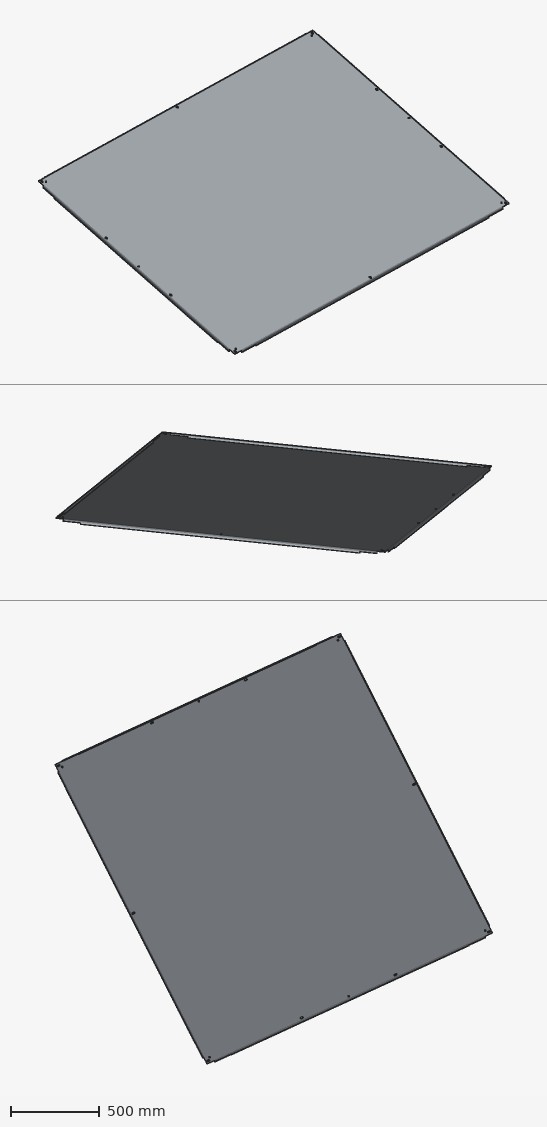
import cadquery as cq
import math

length_x = 1795.0
length_y = 1980.0
height = 22.0

sheet = 3.0
outer_bend = 5.0
inner_bend = outer_bend - sheet

flange_end_inset = 51.0
flange_step_inset = 155.0
shallow_depth = 14.0

opening_width = 8.0
slot_length = 15.0
opening_inset = 20.0
short_side_slot_x = 293.0
corner_hole_inset = 35.0


def arc_middle(center, radius):
    """Midpoint of a quarter arc that faces outward and up."""
    offset = radius * math.sqrt(0.5)
    return (center[0] + offset, center[1] + offset)


def make_flange(side_length, side_distance):
    """Bent flange on the +X side, full height in the middle and shallow near both ends."""
    bend_center = (side_distance - outer_bend, height - outer_bend)
    inner_face = side_distance - sheet
    flange = (
        cq.Workplane("XZ")
        .moveTo(bend_center[0], height)
        .threePointArc(arc_middle(bend_center, outer_bend), (side_distance, bend_center[1]))
        .lineTo(side_distance, 0)
        .lineTo(inner_face, 0)
        .lineTo(inner_face, bend_center[1])
        .threePointArc(arc_middle(bend_center, inner_bend), (bend_center[0], height - sheet))
        .close()
        .extrude(side_length / 2 - flange_end_inset, both=True)
    )
    step_length = flange_step_inset - flange_end_inset
    step_center = side_length / 2 - (flange_end_inset + flange_step_inset) / 2
    steps = (
        cq.Workplane("XY")
        .pushPoints([(side_distance, -step_center), (side_distance, step_center)])
        .rect(2 * outer_bend, step_length)
        .extrude(height - shallow_depth)
    )
    return flange.cut(steps)


def make_plate():
    """Flat sheet that ends where the bends begin."""
    return (
        cq.Workplane("XY")
        .workplane(offset=height - sheet)
        .rect(length_x - 2 * outer_bend, length_y - 2 * outer_bend)
        .extrude(sheet)
    )


def make_openings():
    """Slots along the sides and at the corners, plus round holes near the corners and mid-sides."""
    slot_x = length_x / 2 - opening_inset
    row_y = length_y / 2 - opening_inset
    hole_x = length_x / 2 - corner_hole_inset
    hole_y = length_y / 2 - corner_hole_inset

    slot_centers = [(-slot_x, 0), (slot_x, 0)]
    hole_centers = []
    for side_y in (-1, 1):
        hole_centers.append((0, side_y * row_y))
        for side_x in (-1, 1):
            slot_centers.append((side_x * short_side_slot_x, side_y * row_y))
            slot_centers.append((side_x * slot_x, side_y * row_y))
            hole_centers.append((side_x * hole_x, side_y * hole_y))

    base = cq.Workplane("XY")
    slots = base.pushPoints(slot_centers).slot2D(slot_length, opening_width).extrude(height)
    holes = base.pushPoints(hole_centers).circle(opening_width / 2).extrude(height)
    return slots.union(holes)


tray = make_plate()
for half_turn in (0, 180):
    long_flange = make_flange(length_y, length_x / 2)
    short_flange = make_flange(length_x, length_y / 2)
    tray = tray.union(long_flange.rotate((0, 0, 0), (0, 0, 1), half_turn))
    tray = tray.union(short_flange.rotate((0, 0, 0), (0, 0, 1), half_turn + 90))

result = tray.cut(make_openings())